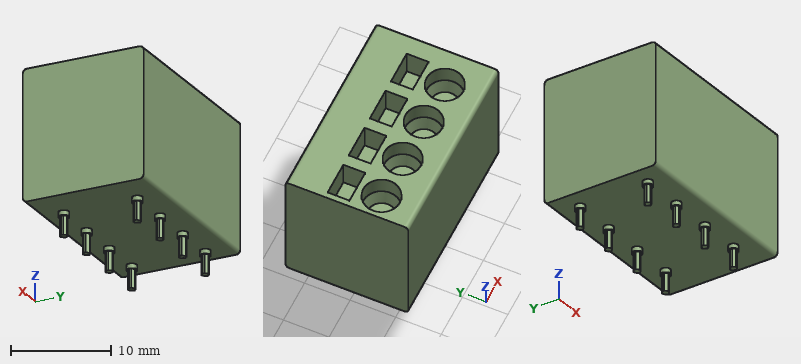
import cadquery as cq

LENGTH = 21.4
WIDTH = 13.5
TOTAL_HEIGHT = 17.0
PIN_LENGTH = 2.6
HOUSING_HEIGHT = TOTAL_HEIGHT - PIN_LENGTH
EDGE_RADIUS = 0.5

POLE_COUNT = 4
PITCH = 5.0
FIRST_POLE_X = 2.5

BORE_DIAMETER = 4.0
SEAT_DIAMETER = 3.0
BORE_DEPTH = 2.0
SEAT_DEPTH = 1.33
BORE_Y = 4.1

POCKET_LENGTH = 3.75
POCKET_WIDTH = 2.4
POCKET_DEPTH = 3.0
POCKET_Y = 7.96

FIRST_PIN_X = 2.3
FRONT_PIN_Y = 2.55
PIN_ROW_SPACING = 8.2
COLLAR_DIAMETER = 1.1
COLLAR_HEIGHT = 0.51
SHANK_WIDTH = 0.77
SHANK_CHAMFER = 0.28


def make_pole_cutter(x):
    """Bore, tapered seat and pocket of one pole, as a tool to cut away."""
    shoulder_z = HOUSING_HEIGHT - BORE_DEPTH
    bore = (
        cq.Workplane("XY", origin=(x, BORE_Y, shoulder_z))
        .circle(BORE_DIAMETER / 2)
        .extrude(BORE_DEPTH)
    )
    seat = (
        cq.Workplane("XY", origin=(x, BORE_Y, shoulder_z))
        .circle(BORE_DIAMETER / 2)
        .workplane(offset=-SEAT_DEPTH)
        .circle(SEAT_DIAMETER / 2)
        .loft()
    )
    pocket = (
        cq.Workplane("XY", origin=(x, POCKET_Y, HOUSING_HEIGHT))
        .rect(POCKET_LENGTH, POCKET_WIDTH)
        .extrude(-POCKET_DEPTH)
    )
    return bore.union(seat).union(pocket)


def make_housing():
    """Block with its four long edges rounded and one set of recesses per pole."""
    housing = (
        cq.Workplane("XY")
        .box(LENGTH, WIDTH, HOUSING_HEIGHT, centered=False)
        .edges("|X")
        .fillet(EDGE_RADIUS)
    )
    for pole in range(POLE_COUNT):
        housing = housing.cut(make_pole_cutter(FIRST_POLE_X + pole * PITCH))
    return housing


def make_pin(x, y):
    """One solder pin hanging from the underside of the housing."""
    collar = (
        cq.Workplane("XY", origin=(x, y, 0))
        .circle(COLLAR_DIAMETER / 2)
        .extrude(-COLLAR_HEIGHT)
    )
    shank = (
        cq.Workplane("XY", origin=(x, y, -COLLAR_HEIGHT))
        .rect(SHANK_WIDTH, SHANK_WIDTH)
        .extrude(COLLAR_HEIGHT - PIN_LENGTH)
        .edges("|Z")
        .chamfer(SHANK_CHAMFER)
    )
    return collar.union(shank)


housing = make_housing()

pins = []
for row_y in (FRONT_PIN_Y, FRONT_PIN_Y + PIN_ROW_SPACING):
    for pole in range(POLE_COUNT):
        pins.append(make_pin(FIRST_PIN_X + pole * PITCH, row_y).val())

result = cq.Compound.makeCompound([housing.val(), *pins])